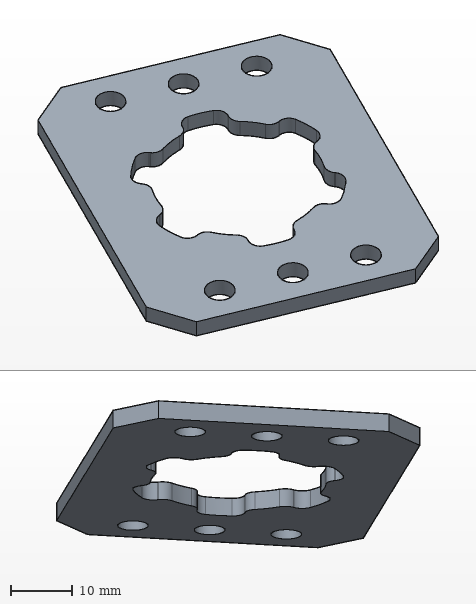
import cadquery as cq

length = 63.0
width = 50.8
thickness = 3.0
corner_chamfer = width / 8

hole_diameter = 5.0
hole_pitch = width / 4
column_spacing = width

bore_radius = 14.3
lobe_radius = 17.5
lobe_width = 7.95
lobe_count = 6
lobe_fillet = 2.0


def make_plate():
    plate = cq.Workplane("XY").box(length, width, thickness, centered=(True, True, False))
    return plate.edges("|Z").chamfer(corner_chamfer)


def make_mounting_holes():
    holes = cq.Workplane("XY").rarray(column_spacing, hole_pitch, 2, 3)
    return holes.circle(hole_diameter / 2).extrude(thickness)


def make_lobed_opening():
    opening = cq.Workplane("XY").circle(bore_radius).extrude(thickness)
    lobe_limit = cq.Workplane("XY").circle(lobe_radius).extrude(thickness)

    bar = cq.Workplane("XY").box(2 * lobe_radius + lobe_width, lobe_width, thickness, centered=(True, True, False))
    bar = bar.intersect(lobe_limit)
    for index in range(lobe_count // 2):
        angle = index * 360 / lobe_count
        opening = opening.union(bar.rotate((0, 0, 0), (0, 0, 1), angle))

    return opening.edges("|Z").fillet(lobe_fillet)


result = make_plate().cut(make_mounting_holes()).cut(make_lobed_opening())